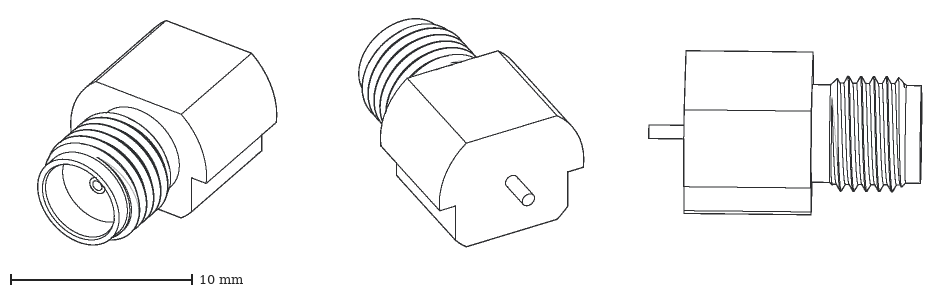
import cadquery as cq
import math

socket_length = 6.0
body_length = 7.0
pin_length = 2.0

body_radius = 4.5
body_square = 7.0
step_z = -0.52

barrel_diameter = 5.4
bore_diameter = 4.6
bore_depth = 1.9
mouth_diameter = 4.75
mouth_chamfer_depth = 0.2

thread_crest_diameter = 6.35
thread_root_diameter = 5.6
thread_pitch = 0.7
thread_start = 0.82
thread_end = 5.0
thread_crest_width = 0.06
thread_flank_angle = 30.0
first_crest_y = 1.32
lead_in_turns = 2
crest_clearance = 0.15
root_overlap = 0.05

contact_diameter = 1.0
contact_height = 0.02
contact_hole_diameter = 0.6
contact_hole_depth = 1.8
pin_diameter = 0.76


def cylinder(diameter, start, length):
    """Cylinder along +Y, beginning at Y = start."""
    base = cq.Plane(origin=(0, start, 0), xDir=(1, 0, 0), normal=(0, 1, 0))
    return cq.Workplane(base).circle(diameter / 2).extrude(length)


def revolve_about_y(points):
    """Solid of revolution from (radius, Y) points."""
    return cq.Workplane("XY").polyline(points).close().revolve(360, (0, 0, 0), (0, 1, 0))


def make_body():
    bar = cylinder(2 * body_radius, socket_length, body_length)
    middle_y = socket_length + body_length / 2
    flats = cq.Workplane("XY").box(2 * body_radius, body_length, body_square)
    body = bar.intersect(flats.translate((0, middle_y, 0)))
    step_height = body_square / 2 + step_z
    step_width = body_radius - body_square / 2
    for side in (-1, 1):
        step = cq.Workplane("XY").box(step_width, body_length, step_height)
        step_x = side * (body_square + step_width) / 2
        body = body.cut(step.translate((step_x, middle_y, step_z - step_height / 2)))
    return body


def make_ridge(profile, turns):
    """Right-handed ridge about +Y, swept from a closed (radius, Y) profile on the +X side."""
    base_radius, base_start = profile[0]
    helix = cq.Wire.makeHelix(
        thread_pitch,
        turns * thread_pitch,
        base_radius,
        center=cq.Vector(0, base_start, 0),
        dir=cq.Vector(0, 1, 0),
    )
    helix = helix.rotate(cq.Vector(0, 0, 0), cq.Vector(0, 1, 0), 90)
    return cq.Workplane("XY").polyline(profile).close().sweep(helix, isFrenet=True)


def make_thread():
    root_radius = thread_root_diameter / 2
    crest_radius = thread_crest_diameter / 2
    inner_radius = root_radius - root_overlap
    flank_slope = math.tan(math.radians(thread_flank_angle))
    half_crest = thread_crest_width / 2
    half_base = half_crest + (crest_radius - inner_radius) * flank_slope

    ridge_start = first_crest_y - lead_in_turns * thread_pitch
    turns = math.ceil((thread_end - ridge_start) / thread_pitch) + 1
    profile = [
        (inner_radius, ridge_start - half_base),
        (crest_radius, ridge_start - half_crest),
        (crest_radius, ridge_start + half_crest),
        (inner_radius, ridge_start + half_base),
    ]
    ridge = make_ridge(profile, turns)

    barrel_radius = barrel_diameter / 2
    taper = crest_radius + crest_clearance - barrel_radius
    envelope_radius = barrel_radius + taper
    envelope = revolve_about_y([
        (0, thread_start),
        (barrel_radius, thread_start),
        (envelope_radius, thread_start + taper),
        (envelope_radius, thread_end - taper),
        (barrel_radius, thread_end),
        (0, thread_end),
    ])
    core = cylinder(thread_root_diameter, thread_start, thread_end - thread_start)
    return core.union(ridge.intersect(envelope)).intersect(envelope)


def make_bore():
    bore_radius = bore_diameter / 2
    return revolve_about_y([
        (0, 0),
        (mouth_diameter / 2, 0),
        (bore_radius, mouth_chamfer_depth),
        (bore_radius, bore_depth),
        (0, bore_depth),
    ])


barrel = cylinder(barrel_diameter, 0, socket_length)
pin = cylinder(pin_diameter, socket_length + body_length, pin_length)
contact = cylinder(contact_diameter, bore_depth - contact_height, contact_height)
contact_hole = cylinder(contact_hole_diameter, bore_depth - contact_height, contact_hole_depth)

result = barrel.union(make_thread()).union(make_body()).union(pin)
result = result.cut(make_bore()).union(contact).cut(contact_hole)